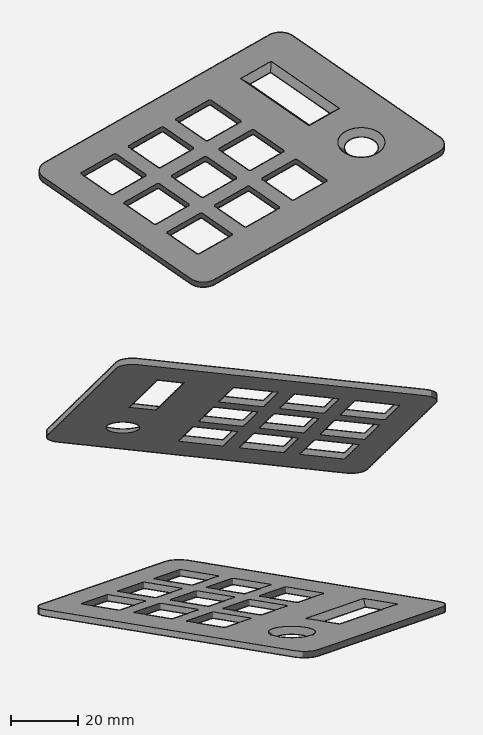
import cadquery as cq

plate_width = 75.0
plate_length = 100.0
plate_thickness = 2.0
corner_radius = 5.0

key_count = 3
key_size = 14.0
key_pitch = 19.0
key_corner_radius = 0.5
key_grid_x = -0.6
key_grid_y = -14.6

flare = plate_thickness
window_width = 26.2
window_height = 8.2
window_x = -12.7
window_y = 30.9
knob_diameter = 10.0
knob_x = 18.7
knob_y = 31.0


def make_plate():
    """Flat plate with rounded corners, its underside on Z = 0."""
    plate = cq.Workplane("XY").box(plate_width, plate_length, plate_thickness, centered=(True, True, False))
    return plate.edges("|Z").fillet(corner_radius)


def make_key_openings():
    """Grid of square through openings with slightly rounded corners."""
    return (
        cq.Workplane("XY")
        .center(key_grid_x, key_grid_y)
        .rarray(key_pitch, key_pitch, key_count, key_count)
        .rect(key_size, key_size)
        .extrude(plate_thickness)
        .edges("|Z")
        .fillet(key_corner_radius)
    )


def make_window():
    """Rectangular opening with four sloping sides."""
    return (
        cq.Workplane("XY")
        .center(window_x, window_y)
        .rect(window_width, window_height)
        .workplane(offset=plate_thickness)
        .rect(window_width + 2 * flare, window_height + 2 * flare)
        .loft(ruled=True)
    )


def make_knob_hole():
    """Round conical opening."""
    return (
        cq.Workplane("XY")
        .center(knob_x, knob_y)
        .circle(knob_diameter / 2)
        .workplane(offset=plate_thickness)
        .circle(knob_diameter / 2 + flare)
        .loft(ruled=True)
    )


result = make_plate().cut(make_key_openings()).cut(make_window()).cut(make_knob_hole())